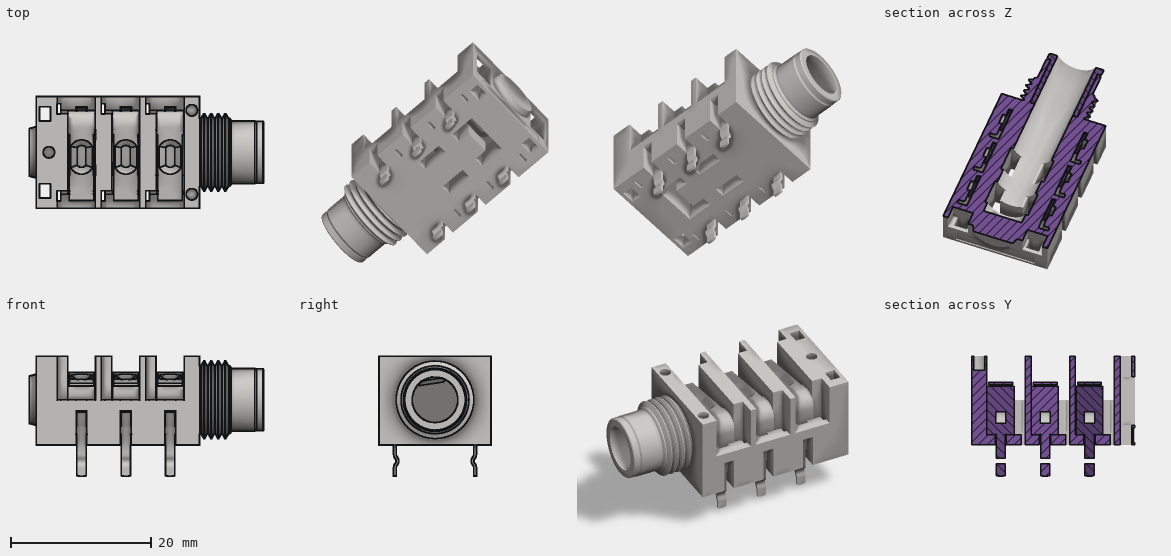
import cadquery as cq
import math


body_length = 23.38
body_width = 16.0
body_top = 6.23
body_bottom = -6.45
half_width = body_width / 2

boss_length = 0.97
boss_root_diameter = 7.37
boss_end_diameter = 6.8

overall_length = 33.5
mouth_x = overall_length - boss_length
thread_root_diameter = 9.7
thread_crest_diameter = 11.1
thread_pitch = 1.0
thread_count = 4
thread_flat = 0.1
first_crest_x = body_length + 0.65
thread_end_x = body_length + 4.3
thread_runout = 0.25
neck_diameter = 9.0
neck_chamfer = 0.25
neck_chamfer_length = 0.3

ferrule_flange_diameter = 8.9
ferrule_tube_diameter = 7.7
bore_diameter = 6.5
bore_radius = bore_diameter / 2
ferrule_flange_length = 1.0
ferrule_edge_chamfer = 0.15
flange_x = mouth_x - ferrule_flange_length

bay_count = 3
bay_pitch = 6.33
bay_start_x = 3.0
bay_width = 5.45
block_half_width = 5.5
first_block_length = 1.55
block_length = 1.47
rail_half_width = 1.78
rail_top = -2.9

strip_thickness = 0.4
strip_outer_y = 5.93
strip_inner_y = strip_outer_y - strip_thickness
strip_half_width = 1.95
first_contact_x = 6.5
strip_top = 1.98
shoulder_z = -4.92
leg_width = 1.37
leg_bottom = -10.95
leg_tip_rise = 0.15
kink_start_z = -7.77
kink_outer_height = 0.5
kink_crown_height = 0.95
kink_depth = 0.37
barb_bottom = -3.8
barb_top = -1.78
barb_lean = 0.47

bend_radius = 1.98
arm_slope = math.radians(8.6)
arm_tip_y = -6.9
arm_half_width = 1.75
arm_neck_y = 2.5

dimple_center_y = -0.67
dimple_half_width = 1.55
dimple_straight = 3.0
dimple_end_bulge = 0.97
dimple_inset = 0.9
dimple_depth = 0.6

pocket_wall_y = 6.0
relief_width = 0.5
relief_outer_y = 6.95
pocket_corner_radius = 0.27
slot_width = 1.55
slot_ceiling = -1.57
slot_inner_depth_y = 6.45

hole_diameter = 1.65
hole_depth = 2.0
end_hole_x = 1.85
rear_hole_x = 22.25
rear_hole_y = 6.0
well_x = 0.5
well_length = 1.55
well_inner_y = 4.5
well_outer_y = 6.5
window_inner_y = 4.2
window_outer_y = 7.2
window_top = 3.28
window_bottom = -3.6
window_depth = well_x + well_length
plate_width = 12.0
plate_top = -4.05
plate_bottom = -6.1
plate_depth = 0.2


def box(x0, x1, y0, y1, z0, z1):
    """Axis-aligned box between two opposite corners."""
    corner = cq.Workplane("XY").box(x1 - x0, y1 - y0, z1 - z0, centered=False)
    return corner.translate((x0, y0, z0))


def x_cylinder(diameter, x0, x1):
    """Cylinder on the bore axis from x0 to x1."""
    return cq.Workplane("YZ").workplane(offset=x0).circle(diameter / 2).extrude(x1 - x0)


def revolve_about_bore(outline):
    """Solid of revolution from (x, radius) points."""
    return cq.Workplane("XY").polyline(outline).close().revolve(360, (0, 0, 0), (1, 0, 0))


def mirror_pair(shape):
    """The shape together with its mirror image across Y = 0."""
    return shape.union(shape.mirror("XZ"))


def bay_x(index):
    return bay_start_x + index * bay_pitch


def contact_x(index):
    return first_contact_x + index * bay_pitch


def make_neck():
    """Neck outline with V-shaped thread ridges, revolved about the bore."""
    root_radius = thread_root_diameter / 2
    crest_radius = thread_crest_diameter / 2
    neck_radius = neck_diameter / 2
    flank = thread_pitch / 2 - thread_flat
    half_flat = thread_flat / 2
    outline = [(body_length, 0), (body_length, root_radius)]
    for ridge in range(thread_count):
        crest_x = first_crest_x + ridge * thread_pitch
        outline += [
            (crest_x - half_flat - flank, root_radius),
            (crest_x - half_flat, crest_radius),
            (crest_x + half_flat, crest_radius),
            (crest_x + half_flat + flank, root_radius),
        ]
    outline += [
        (thread_end_x, root_radius),
        (thread_end_x + thread_runout, neck_radius),
        (flange_x - neck_chamfer_length, neck_radius),
        (flange_x, neck_radius - neck_chamfer),
        (flange_x, 0),
    ]
    return revolve_about_bore(outline)


def make_end_boss():
    """Tapered round boss on the closed face."""
    return revolve_about_bore([
        (0, 0),
        (0, boss_root_diameter / 2),
        (-boss_length, boss_end_diameter / 2),
        (-boss_length, 0),
    ])


def make_bay_cut(index):
    """Open space of one bay above Z = 0, leaving the thick middle block of the divider."""
    start = bay_x(index)
    wall_length = first_block_length if index == 0 else block_length
    opening = box(start, start + bay_width, -half_width, half_width, 0, body_top)
    block = box(start, start + wall_length, -block_half_width, block_half_width, 0, body_top)
    return opening.cut(block)


def make_floor_cut(index):
    """Opening through the bay floor, leaving a middle rail that starts at the first contact."""
    start = bay_x(index) + first_block_length
    end = bay_x(index) + bay_width
    opening = box(start, end, -bore_radius, bore_radius, body_bottom, 0)
    rail_start = max(start, first_contact_x)
    rail = box(rail_start, end, -rail_half_width, rail_half_width, body_bottom, rail_top)
    return opening.cut(rail)


def make_contact_recess(index):
    """Pocket, relief hole and leg slot for the contact at +Y."""
    start = bay_x(index)
    end = start + bay_width
    center = contact_x(index)
    half_slot = slot_width / 2
    relief_end = start + relief_width
    relief = box(start, relief_end, block_half_width, relief_outer_y, body_bottom, 0)
    pocket = box(start, end, block_half_width, pocket_wall_y, shoulder_z, 0)
    corner = box(
        relief_end, relief_end + pocket_corner_radius,
        pocket_wall_y, pocket_wall_y + pocket_corner_radius, shoulder_z, 0,
    )
    rounding = cq.Workplane("XY", origin=(
        relief_end + pocket_corner_radius, pocket_wall_y + pocket_corner_radius, shoulder_z,
    )).circle(pocket_corner_radius).extrude(-shoulder_z)
    barb_slot = box(
        center - half_slot, center + half_slot, strip_inner_y, slot_inner_depth_y, slot_ceiling, 0,
    )
    leg_slot = box(
        center - half_slot, center + half_slot, strip_inner_y, half_width, body_bottom, slot_ceiling,
    )
    return relief.union(pocket).union(corner.cut(rounding)).union(barb_slot).union(leg_slot)


def cut_block_details(block):
    """Round holes in the top, wells and windows at the closed end, and the name plate recess."""
    hole_centers = [(end_hole_x, 0), (rear_hole_x, rear_hole_y), (rear_hole_x, -rear_hole_y)]
    holes = (
        cq.Workplane("XY", origin=(0, 0, body_top))
        .pushPoints(hole_centers)
        .circle(hole_diameter / 2)
        .extrude(-hole_depth)
    )
    well = box(well_x, well_x + well_length, well_inner_y, well_outer_y, body_bottom, body_top)
    window = box(0, window_depth, window_inner_y, window_outer_y, window_bottom, window_top)
    plate = box(0, plate_depth, -plate_width / 2, plate_width / 2, plate_bottom, plate_top)
    return block.cut(holes).cut(mirror_pair(well.union(window))).cut(plate)


def make_housing():
    block = box(0, body_length, -half_width, half_width, body_bottom, body_top)
    for index in range(bay_count):
        block = block.cut(make_bay_cut(index))
    block = cut_block_details(block)
    housing = block.union(make_end_boss()).union(make_neck())
    housing = housing.cut(x_cylinder(bore_diameter, bay_start_x, body_length))
    housing = housing.cut(x_cylinder(ferrule_tube_diameter, body_length, flange_x))
    for index in range(bay_count):
        housing = housing.cut(mirror_pair(make_contact_recess(index)))
    for index in range(bay_count - 1):
        housing = housing.cut(make_floor_cut(index))
    return housing


def make_ferrule():
    """Flanged sleeve that lines the neck."""
    tube = x_cylinder(ferrule_tube_diameter, body_length, flange_x)
    flange = x_cylinder(ferrule_flange_diameter, flange_x, mouth_x)
    flange = flange.faces(">X").chamfer(ferrule_edge_chamfer)
    return tube.union(flange).cut(x_cylinder(bore_diameter, body_length, mouth_x))


def make_leg():
    """Solder leg at +Y with an inward kink made of three tangent arcs, and a rounded tip."""
    half_kink = kink_outer_height + kink_crown_height / 2
    turn = 2 * math.atan(kink_depth / half_kink)
    outer_radius = kink_outer_height / math.sin(turn)
    middle_y = strip_outer_y - strip_thickness / 2
    crown_y = middle_y - kink_depth
    crown_z = kink_start_z - half_kink
    entry_y = middle_y - outer_radius * (1 - math.cos(turn))
    half_turn_y = middle_y - outer_radius * (1 - math.cos(turn / 2))
    half_turn_drop = outer_radius * math.sin(turn / 2)
    kink_end_z = kink_start_z - 2 * half_kink
    path = (
        cq.Workplane("YZ")
        .moveTo(middle_y, shoulder_z)
        .lineTo(middle_y, kink_start_z)
        .threePointArc((half_turn_y, kink_start_z - half_turn_drop),
                       (entry_y, kink_start_z - kink_outer_height))
        .threePointArc((crown_y, crown_z), (entry_y, kink_end_z + kink_outer_height))
        .threePointArc((half_turn_y, kink_end_z + half_turn_drop), (middle_y, kink_end_z))
        .lineTo(middle_y, leg_bottom)
    )
    section = cq.Workplane("XY", origin=(0, middle_y, shoulder_z)).rect(leg_width, strip_thickness)
    leg = section.sweep(path)
    half_leg = leg_width / 2
    silhouette = (
        cq.Workplane("XZ")
        .moveTo(-half_leg, shoulder_z)
        .lineTo(-half_leg, leg_bottom + leg_tip_rise)
        .threePointArc((0, leg_bottom), (half_leg, leg_bottom + leg_tip_rise))
        .lineTo(half_leg, shoulder_z)
        .close()
        .extrude(-half_width)
    )
    return leg.intersect(silhouette)


def make_terminal():
    """Upright strip at +Y, centred on X = 0, with an outward pointed barb and the solder leg."""
    half_leg = leg_width / 2
    strip = box(
        -strip_half_width, strip_half_width, strip_inner_y, strip_outer_y, shoulder_z, strip_top,
    )
    barb_window = box(-half_leg, half_leg, strip_inner_y, strip_outer_y, barb_bottom, barb_top)
    barb = (
        cq.Workplane("YZ")
        .polyline([
            (strip_inner_y, barb_bottom),
            (strip_outer_y, barb_bottom),
            (strip_outer_y + barb_lean, barb_top),
        ])
        .close()
        .extrude(half_leg, both=True)
    )
    return strip.cut(barb_window).union(barb).union(make_leg())


def bend_point(radius, angle):
    """(y, z) point on the spring bend; the angle is measured from straight up toward -Y."""
    center_y = strip_outer_y - bend_radius
    return (center_y - radius * math.sin(angle), strip_top + radius * math.cos(angle))


def make_dimple(half_width_at_top, end_bulge, depth_offset):
    """Long, round-ended tapered plug, sunk square to the sloping arm."""
    tangent_y, tangent_z = bend_point(bend_radius, arm_slope)
    normal_y = -math.sin(arm_slope)
    normal_z = math.cos(arm_slope)
    surface_z = tangent_z - (tangent_y - dimple_center_y) * math.tan(arm_slope)
    plane = cq.Plane(
        origin=(0, dimple_center_y - depth_offset * normal_y, surface_z - depth_offset * normal_z),
        xDir=(1, 0, 0),
        normal=(0, -normal_y, -normal_z),
    )
    half_straight = dimple_straight / 2
    wall_angle = math.degrees(math.atan2(dimple_inset, dimple_depth))
    return (
        cq.Workplane(plane)
        .moveTo(-half_width_at_top, -half_straight)
        .threePointArc((0, -half_straight - end_bulge), (half_width_at_top, -half_straight))
        .lineTo(half_width_at_top, half_straight)
        .threePointArc((0, half_straight + end_bulge), (-half_width_at_top, half_straight))
        .close()
        .extrude(dimple_depth, taper=wall_angle)
    )


def make_arm():
    """Bent and sloping spring arm, narrowed toward its tip and pressed with a dimple."""
    inner_radius = bend_radius - strip_thickness
    bend_middle = (arm_slope - math.pi / 2) / 2
    outer_tangent = bend_point(bend_radius, arm_slope)
    inner_tangent = bend_point(inner_radius, arm_slope)
    run = outer_tangent[0] - arm_tip_y
    drop = run * math.tan(arm_slope)
    arm = (
        cq.Workplane("YZ")
        .moveTo(strip_outer_y, strip_top)
        .threePointArc(bend_point(bend_radius, bend_middle), outer_tangent)
        .lineTo(arm_tip_y, outer_tangent[1] - drop)
        .lineTo(inner_tangent[0] - run, inner_tangent[1] - drop)
        .lineTo(*inner_tangent)
        .threePointArc(bend_point(inner_radius, bend_middle), (strip_inner_y, strip_top))
        .close()
        .extrude(strip_half_width, both=True)
    )
    for side in (-1, 1):
        inner_edge, outer_edge = sorted((side * arm_half_width, side * strip_half_width))
        arm = arm.cut(box(inner_edge, outer_edge, -half_width, arm_neck_y, 0, body_top))
    wall_slope = dimple_inset / dimple_depth
    wall_growth = strip_thickness * (math.hypot(1, wall_slope) - wall_slope)
    bump = make_dimple(dimple_half_width + wall_growth, dimple_end_bulge + wall_growth, strip_thickness)
    recess = make_dimple(dimple_half_width, dimple_end_bulge, 0)
    return arm.union(bump).cut(recess)


def make_spring_contact(index):
    return make_terminal().union(make_arm()).translate((contact_x(index), 0, 0))


def make_fixed_contact(index):
    return make_terminal().mirror("XZ").translate((contact_x(index), 0, 0))


housing = make_housing().solids()
ferrule = make_ferrule().solids()
spring_contacts = [make_spring_contact(index).solids().val() for index in range(bay_count)]
fixed_contacts = [make_fixed_contact(index).solids().val() for index in range(bay_count)]

result = cq.Compound.makeCompound([housing.val(), ferrule.val(), *spring_contacts, *fixed_contacts])